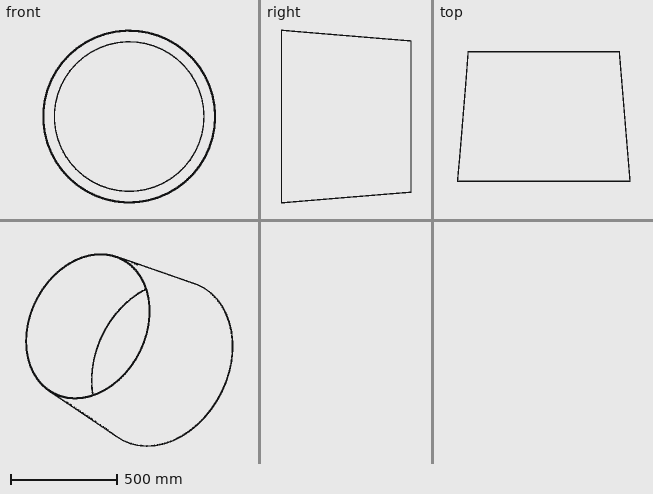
import cadquery as cq

large_diameter = 813.0
small_diameter = 712.0
length = 610.0
wall = 5.0

large_radius = large_diameter / 2
small_radius = small_diameter / 2
front_y = -length / 2
back_y = length / 2

wall_section = (
    cq.Workplane("XY")
    .moveTo(large_radius, front_y)
    .lineTo(small_radius, back_y)
    .lineTo(small_radius - wall, back_y)
    .lineTo(large_radius - wall, front_y)
    .close()
)

result = wall_section.revolve(360, (0, 0, 0), (0, 1, 0))